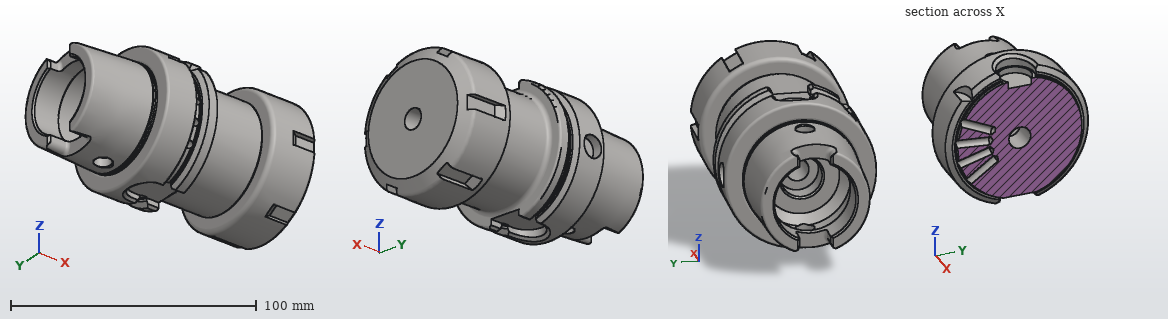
import cadquery as cq
import math

TOTAL_LENGTH = 111.7

SHANK_END_RADIUS = 22.7
SHANK_BASE_RADIUS = 24.1
SHANK_BASE_X = 29.9
SHANK_END_FILLET = 1.1
UNDERCUT_RADIUS = 23.8
UNDERCUT_WIDTH = 0.7
FACE_RECESS_RADIUS = 25.1
FACE_RECESS_DEPTH = 0.2

FLANGE_X = 32.0
FLANGE_END_X = 58.0
FLANGE_RADIUS = 31.5
FLANGE_FRONT_FILLET = 1.1
FLANGE_BACK_FILLET = 1.0
GROOVE_START_X = 48.1
GROOVE_END_X = 51.7
GROOVE_RADIUS = 27.5
GROOVE_FLANK_LENGTH = 1.5
GROOVE_FLANK_ANGLE = 60.0
GROOVE_CORNER_CHAMFER = 0.5

BODY_RADIUS = 25.0
BODY_FILLET = 2.0
BODY_END_X = 86.0
NOSE_RADIUS = 24.5
NOSE_END_X = 102.8

CAVITY_MOUTH_RADIUS = 17.6
CAVITY_RADIUS = 16.9
CAVITY_STRAIGHT_DEPTH = 13.1
CAVITY_RELIEF_RADIUS = 19.5
CAVITY_RELIEF_ANGLE = 60.0
CAVITY_FLOOR_RADIUS = 15.6
CAVITY_FLOOR_X = 30.2
COUNTERBORE_MOUTH_RADIUS = 9.4
COUNTERBORE_RADIUS = 8.6
COUNTERBORE_DEPTH = 8.9
BORE_RADIUS = 4.7

DRIVE_SLOT_HALF_WIDTH = 6.4
DRIVE_SLOT_EDGE_RADIUS = 3.0
DRIVE_SLOT_EDGE_TOP = 20.9
DRIVE_SLOT_CORNER_FILLET = 1.5
DRIVE_SLOT_CHAMFER = 1.0
TOP_DRIVE_SLOT_DEPTH = 6.0
BOTTOM_DRIVE_SLOT_DEPTH = 9.9

ACCESS_HOLE_X = 22.9
ACCESS_HOLE_RADIUS = 3.9
ACCESS_HOLE_CHAMFER = 0.3

KEYWAY_CENTRE_X = 45.0
KEYWAY_HALF_WIDTH = 7.9
KEYWAY_FLOOR = 26.5
KEYWAY_EDGE_CHAMFER = 1.5
KEYWAY_HOLE_RADIUS = 7.0
KEYWAY_HOLE_DEPTH = 2.8
NOTCH_WALL_Y = -20.0
NOTCH_FLOOR = 20.1

FLANK_HOLE_X = 39.1
FLANK_HOLE_RADIUS = 5.0
FLANK_HOLE_DEPTH = 4.6

GROOVE_HOLE_RADIUS = 1.7
GROOVE_HOLE_DEPTH = 14.5
GROOVE_HOLE_TIP_ANGLE = 118.0
GROOVE_HOLE_ELEVATIONS = (25.0, 5.0, -15.0, -35.0)

NUT_X = 86.1
NUT_RADIUS = 31.5
NUT_FILLET = 2.0
NUT_CONE_X = 107.9
NUT_FACE_RADIUS = 25.4
NUT_SLOT_COUNT = 6
NUT_SLOT_WIDTH = 6.5
NUT_SLOT_FLOOR = 28.7
NUT_SLOT_RAMP = 3.5
SHORT_SLOT_X = 96.5
LONG_SLOT_X = 89.9

CLEARANCE = 5.6
TOLERANCE = 0.1


def revolve_about_x(profile):
    return profile.close().revolve(360, (0, 0, 0), (1, 0, 0))


def cylinder_along(start, direction, radius, length):
    return cq.Workplane(cq.Solid.makeCylinder(radius, length, cq.Vector(*start), cq.Vector(*direction)))


def keyway_tool(centre_y, floor_z):
    """Round-ended slot, open towards +X, with its floor at floor_z."""
    end_x = FLANGE_END_X + BODY_FILLET
    return (
        cq.Workplane("XY", origin=(0, 0, floor_z))
        .moveTo(end_x, centre_y - KEYWAY_HALF_WIDTH)
        .lineTo(KEYWAY_CENTRE_X, centre_y - KEYWAY_HALF_WIDTH)
        .threePointArc(
            (KEYWAY_CENTRE_X - KEYWAY_HALF_WIDTH, centre_y),
            (KEYWAY_CENTRE_X, centre_y + KEYWAY_HALF_WIDTH),
        )
        .lineTo(end_x, centre_y + KEYWAY_HALF_WIDTH)
        .close()
        .extrude(FLANGE_RADIUS)
    )


def cut_both_keyways(solid):
    """Cut two opposite keyways, on +Z and -Z."""
    keyway = keyway_tool(0, KEYWAY_FLOOR)
    return solid.cut(keyway).cut(keyway.rotate((0, 0, 0), (1, 0, 0), 180))


def is_keyway_rim(edge):
    """True for the edges where a keyway wall meets the outside of the flange."""
    middle = edge.positionAt(0.5)
    on_outside = abs(math.hypot(middle.y, middle.z) - FLANGE_RADIUS) < TOLERANCE
    inside_flange = FLANGE_X + TOLERANCE < middle.x < FLANGE_END_X - TOLERANCE
    return on_outside and inside_flange and abs(middle.y) < KEYWAY_HALF_WIDTH + TOLERANCE


def make_flange():
    flange = cylinder_along((FLANGE_X, 0, 0), (1, 0, 0), FLANGE_RADIUS, FLANGE_END_X - FLANGE_X)
    flange = flange.faces("<X").edges().fillet(FLANGE_FRONT_FILLET)

    flange = cut_both_keyways(flange)
    rim = [edge for edge in flange.edges().vals() if is_keyway_rim(edge)]
    flange = flange.newObject(rim).chamfer(KEYWAY_EDGE_CHAMFER)

    back_corner = revolve_about_x(
        cq.Workplane("XY")
        .moveTo(FLANGE_END_X - FLANGE_BACK_FILLET, FLANGE_RADIUS)
        .radiusArc((FLANGE_END_X, FLANGE_RADIUS - FLANGE_BACK_FILLET), FLANGE_BACK_FILLET)
        .lineTo(FLANGE_END_X, FLANGE_RADIUS + CLEARANCE)
        .lineTo(FLANGE_END_X - FLANGE_BACK_FILLET, FLANGE_RADIUS + CLEARANCE)
    )
    flange = flange.cut(back_corner)

    flank_bottom = FLANGE_RADIUS - GROOVE_FLANK_LENGTH * math.tan(math.radians(GROOVE_FLANK_ANGLE))
    outside = FLANGE_RADIUS + CLEARANCE
    groove = revolve_about_x(
        cq.Workplane("XY")
        .moveTo(GROOVE_START_X + GROOVE_CORNER_CHAMFER, GROOVE_RADIUS)
        .lineTo(GROOVE_START_X, GROOVE_RADIUS + GROOVE_CORNER_CHAMFER)
        .lineTo(GROOVE_START_X, flank_bottom)
        .lineTo(GROOVE_START_X - GROOVE_FLANK_LENGTH, FLANGE_RADIUS)
        .lineTo(GROOVE_START_X - GROOVE_FLANK_LENGTH, outside)
        .lineTo(GROOVE_END_X + GROOVE_FLANK_LENGTH, outside)
        .lineTo(GROOVE_END_X + GROOVE_FLANK_LENGTH, FLANGE_RADIUS)
        .lineTo(GROOVE_END_X, flank_bottom)
        .lineTo(GROOVE_END_X, GROOVE_RADIUS + GROOVE_CORNER_CHAMFER)
        .lineTo(GROOVE_END_X - GROOVE_CORNER_CHAMFER, GROOVE_RADIUS)
    )
    flange = flange.cut(groove)

    return flange.cut(keyway_tool(NOTCH_WALL_Y - KEYWAY_HALF_WIDTH, NOTCH_FLOOR))


def make_shank_and_body():
    fillet_diagonal = BODY_FILLET * math.sqrt(0.5)
    return revolve_about_x(
        cq.Workplane("XY")
        .lineTo(0, SHANK_END_RADIUS - SHANK_END_FILLET)
        .radiusArc((SHANK_END_FILLET, SHANK_END_RADIUS), SHANK_END_FILLET)
        .lineTo(SHANK_BASE_X, SHANK_BASE_RADIUS)
        .lineTo(SHANK_BASE_X + UNDERCUT_WIDTH, UNDERCUT_RADIUS)
        .lineTo(SHANK_BASE_X + 2 * UNDERCUT_WIDTH, SHANK_BASE_RADIUS)
        .lineTo(FLANGE_END_X, SHANK_BASE_RADIUS)
        .lineTo(FLANGE_END_X, BODY_RADIUS + BODY_FILLET)
        .threePointArc(
            (
                FLANGE_END_X + BODY_FILLET - fillet_diagonal,
                BODY_RADIUS + BODY_FILLET - fillet_diagonal,
            ),
            (FLANGE_END_X + BODY_FILLET, BODY_RADIUS),
        )
        .lineTo(BODY_END_X - (BODY_RADIUS - NOSE_RADIUS), BODY_RADIUS)
        .lineTo(BODY_END_X, NOSE_RADIUS)
        .lineTo(NOSE_END_X, NOSE_RADIUS)
        .lineTo(NOSE_END_X, 0)
    )


def make_face_recess():
    """Shallow conical ring cut into the flange face around the shank."""
    return revolve_about_x(
        cq.Workplane("XY")
        .moveTo(FLANGE_X, SHANK_BASE_RADIUS)
        .lineTo(FLANGE_X + FACE_RECESS_DEPTH, SHANK_BASE_RADIUS)
        .lineTo(FLANGE_X, FACE_RECESS_RADIUS)
    )


def make_axial_cavity():
    mouth_chamfer = CAVITY_MOUTH_RADIUS - CAVITY_RADIUS
    relief_rise = CAVITY_RELIEF_RADIUS - CAVITY_RADIUS
    relief_start_x = CAVITY_STRAIGHT_DEPTH + relief_rise / math.tan(math.radians(CAVITY_RELIEF_ANGLE))
    relief_end_x = CAVITY_FLOOR_X - (CAVITY_RELIEF_RADIUS - CAVITY_FLOOR_RADIUS)
    counterbore_chamfer = COUNTERBORE_MOUTH_RADIUS - COUNTERBORE_RADIUS
    counterbore_end_x = CAVITY_FLOOR_X + COUNTERBORE_DEPTH
    return revolve_about_x(
        cq.Workplane("XY")
        .lineTo(0, CAVITY_MOUTH_RADIUS)
        .lineTo(mouth_chamfer, CAVITY_RADIUS)
        .lineTo(CAVITY_STRAIGHT_DEPTH, CAVITY_RADIUS)
        .lineTo(relief_start_x, CAVITY_RELIEF_RADIUS)
        .lineTo(relief_end_x, CAVITY_RELIEF_RADIUS)
        .lineTo(CAVITY_FLOOR_X, CAVITY_FLOOR_RADIUS)
        .lineTo(CAVITY_FLOOR_X, COUNTERBORE_MOUTH_RADIUS)
        .lineTo(CAVITY_FLOOR_X + counterbore_chamfer, COUNTERBORE_RADIUS)
        .lineTo(counterbore_end_x, COUNTERBORE_RADIUS)
        .lineTo(counterbore_end_x, BORE_RADIUS)
        .lineTo(NOSE_END_X, BORE_RADIUS)
        .lineTo(NOSE_END_X, 0)
    )


def drive_slot_tool(depth):
    """Slot across the +Z wall of the shank, with rounded outer edges and chamfered entry."""
    edge_start_z = DRIVE_SLOT_EDGE_TOP - DRIVE_SLOT_EDGE_RADIUS
    edge_end_y = DRIVE_SLOT_HALF_WIDTH + DRIVE_SLOT_EDGE_RADIUS
    outer_y = edge_end_y + CLEARANCE
    top_z = SHANK_BASE_RADIUS + CLEARANCE
    slot = (
        cq.Workplane("YZ")
        .moveTo(-DRIVE_SLOT_HALF_WIDTH, 0)
        .lineTo(-DRIVE_SLOT_HALF_WIDTH, edge_start_z)
        .radiusArc((-edge_end_y, DRIVE_SLOT_EDGE_TOP), -DRIVE_SLOT_EDGE_RADIUS)
        .lineTo(-outer_y, DRIVE_SLOT_EDGE_TOP)
        .lineTo(-outer_y, top_z)
        .lineTo(outer_y, top_z)
        .lineTo(outer_y, DRIVE_SLOT_EDGE_TOP)
        .lineTo(edge_end_y, DRIVE_SLOT_EDGE_TOP)
        .radiusArc((DRIVE_SLOT_HALF_WIDTH, edge_start_z), -DRIVE_SLOT_EDGE_RADIUS)
        .lineTo(DRIVE_SLOT_HALF_WIDTH, 0)
        .close()
        .extrude(depth)
    )
    end_edges = [
        edge
        for edge in slot.faces(">X").edges().vals()
        if 0 < edge.Center().z < DRIVE_SLOT_EDGE_TOP + TOLERANCE and abs(edge.Center().y) > TOLERANCE
    ]
    slot = slot.newObject(end_edges).fillet(DRIVE_SLOT_CORNER_FILLET)
    entry_half_width = DRIVE_SLOT_HALF_WIDTH + DRIVE_SLOT_CHAMFER
    entry = (
        cq.Workplane("XY")
        .moveTo(0, -entry_half_width)
        .lineTo(0, entry_half_width)
        .lineTo(DRIVE_SLOT_CHAMFER, DRIVE_SLOT_HALF_WIDTH)
        .lineTo(DRIVE_SLOT_CHAMFER, -DRIVE_SLOT_HALF_WIDTH)
        .close()
        .extrude(top_z)
    )
    return slot.union(entry)


def access_hole_tool():
    """Hole along Z through both walls of the shank, countersunk on the outside."""
    reach = SHANK_BASE_RADIUS + CLEARANCE
    hole = cylinder_along((ACCESS_HOLE_X, 0, -reach), (0, 0, 1), ACCESS_HOLE_RADIUS, 2 * reach)
    slope = (SHANK_BASE_RADIUS - SHANK_END_RADIUS) / (SHANK_BASE_X - SHANK_END_FILLET)
    surface_z = SHANK_END_RADIUS + slope * (ACCESS_HOLE_X - SHANK_END_FILLET)
    for side in (1, -1):
        countersink = cq.Solid.makeCone(
            ACCESS_HOLE_RADIUS,
            ACCESS_HOLE_RADIUS + 2 * ACCESS_HOLE_CHAMFER,
            2 * ACCESS_HOLE_CHAMFER,
            cq.Vector(ACCESS_HOLE_X, 0, side * (surface_z - ACCESS_HOLE_CHAMFER)),
            cq.Vector(0, 0, side),
        )
        hole = hole.union(cq.Workplane(countersink))
    return hole


def groove_hole_tool(elevation):
    """Drilled radial hole in the groove floor; elevation is in degrees from -Y towards +Z."""
    out_y = -math.cos(math.radians(elevation))
    out_z = math.sin(math.radians(elevation))
    bottom = GROOVE_RADIUS - GROOVE_HOLE_DEPTH
    middle_x = (GROOVE_START_X + GROOVE_END_X) / 2
    tip_start = (middle_x, bottom * out_y, bottom * out_z)
    hole = cylinder_along(tip_start, (0, out_y, out_z), GROOVE_HOLE_RADIUS, GROOVE_HOLE_DEPTH + CLEARANCE)
    tip_length = GROOVE_HOLE_RADIUS / math.tan(math.radians(GROOVE_HOLE_TIP_ANGLE / 2))
    tip = cq.Solid.makeCone(
        GROOVE_HOLE_RADIUS, 0, tip_length, cq.Vector(*tip_start), cq.Vector(0, -out_y, -out_z)
    )
    return hole.union(cq.Workplane(tip))


def make_holder():
    holder = cut_both_keyways(make_shank_and_body().union(make_flange()))
    holder = holder.cut(make_face_recess()).cut(make_axial_cavity())

    holder = holder.cut(drive_slot_tool(TOP_DRIVE_SLOT_DEPTH))
    bottom_slot = drive_slot_tool(BOTTOM_DRIVE_SLOT_DEPTH)
    holder = holder.cut(bottom_slot.rotate((0, 0, 0), (1, 0, 0), 180))
    holder = holder.cut(access_hole_tool())

    keyway_hole_floor = KEYWAY_FLOOR - KEYWAY_HOLE_DEPTH
    holder = holder.cut(
        cylinder_along(
            (KEYWAY_CENTRE_X, 0, keyway_hole_floor), (0, 0, 1), KEYWAY_HOLE_RADIUS, KEYWAY_HOLE_DEPTH
        )
    )
    flank_hole_floor = FLANGE_RADIUS - FLANK_HOLE_DEPTH
    holder = holder.cut(
        cylinder_along((FLANK_HOLE_X, flank_hole_floor, 0), (0, 1, 0), FLANK_HOLE_RADIUS, FLANK_HOLE_DEPTH)
    )
    for elevation in GROOVE_HOLE_ELEVATIONS:
        holder = holder.cut(groove_hole_tool(elevation))
    return holder


def nut_slot_tool(start_x):
    """Flat-floored wrench slot on the +Y side, ramping down from start_x."""
    rise = NUT_RADIUS - NUT_SLOT_FLOOR
    ramp_slope = NUT_SLOT_RAMP / rise
    outside = NUT_RADIUS + CLEARANCE
    return (
        cq.Workplane("XY")
        .moveTo(start_x + NUT_SLOT_RAMP, NUT_SLOT_FLOOR)
        .lineTo(start_x - ramp_slope * CLEARANCE, outside)
        .lineTo(TOTAL_LENGTH + CLEARANCE, outside)
        .lineTo(TOTAL_LENGTH + CLEARANCE, NUT_SLOT_FLOOR)
        .close()
        .extrude(NUT_SLOT_WIDTH / 2, both=True)
    )


def make_nut():
    nut = revolve_about_x(
        cq.Workplane("XY")
        .moveTo(NUT_X, NOSE_RADIUS)
        .lineTo(NUT_X, NUT_RADIUS)
        .lineTo(NUT_CONE_X, NUT_RADIUS)
        .lineTo(TOTAL_LENGTH, NUT_FACE_RADIUS)
        .lineTo(TOTAL_LENGTH, BORE_RADIUS)
        .lineTo(NOSE_END_X, BORE_RADIUS)
        .lineTo(NOSE_END_X, NOSE_RADIUS)
    )
    rims = [edge for edge in nut.edges("%CIRCLE").vals() if abs(edge.radius() - NUT_RADIUS) < TOLERANCE]
    nut = nut.newObject(rims).fillet(NUT_FILLET)

    for index in range(NUT_SLOT_COUNT):
        angle = index * 360 / NUT_SLOT_COUNT
        start_x = LONG_SLOT_X if math.cos(math.radians(angle)) > 0 else SHORT_SLOT_X
        nut = nut.cut(nut_slot_tool(start_x).rotate((0, 0, 0), (1, 0, 0), angle))
    return nut


holder = make_holder()
nut = make_nut()

result = cq.Compound.makeCompound([*holder.solids().vals(), *nut.solids().vals()])